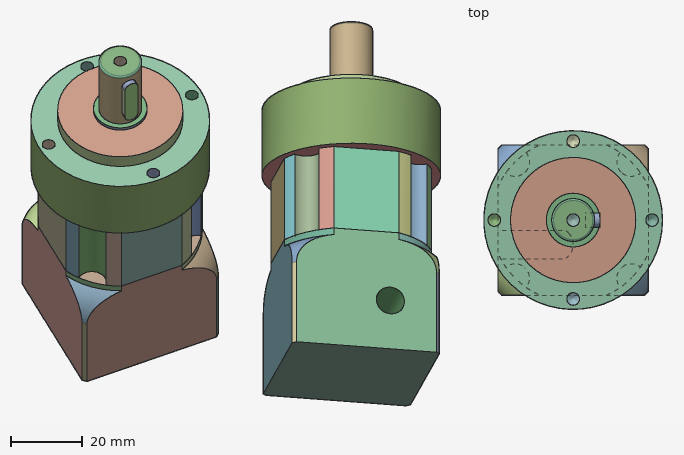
import cadquery as cq
import math

body_width = 42.0
corner_radius = 23.0
corner_count = 4
flange_diameter = 50.0
boss_diameter = 35.0
collar_diameter = 15.0
shaft_diameter = 12.0

shoulder_bottom_z = 24.0
shoulder_top_z = 33.0
base_top_z = 35.0
flange_bottom_z = 59.4
flange_top_z = 79.0
boss_top_z = 83.0
collar_top_z = 83.9
shaft_top_z = 103.5

base_corner_radius = 29.0
access_hole_diameter = 8.0
access_hole_y = -6.8
access_hole_z = 14.5
access_hole_depth = body_width / 2
access_hole_end_radius = 4.7

groove_radius = 4.0

hole_diameter = 3.5
hole_depth = 8.3
drill_point_angle = 118.0
bolt_circle_radius = 22.0
bolt_count = 4

shaft_end_fillet = 0.5
key_width = 4.0
key_length = 15.0
key_bottom_z = 86.5
key_outer_x = 7.5


def cylinder(diameter, bottom_z, top_z):
    return cq.Workplane("XY").workplane(offset=bottom_z).circle(diameter / 2).extrude(top_z - bottom_z)


def square_block(bottom_z, top_z):
    height = top_z - bottom_z
    return cq.Workplane("XY").workplane(offset=bottom_z).rect(body_width, body_width).extrude(height)


def drilled_hole(x, y, top_z):
    """Blind hole with a conical drill point."""
    radius = hole_diameter / 2
    point_height = radius / math.tan(math.radians(drill_point_angle / 2))
    return (
        cq.Workplane("XZ")
        .polyline([(0, 0), (radius, 0), (radius, -hole_depth), (0, -hole_depth - point_height)])
        .close()
        .revolve(360, (0, 0), (0, 1))
        .translate((x, y, top_z))
    )


def make_base():
    """Square motor adapter whose corners curve in to the round gear case."""
    corner_drop = base_corner_radius - corner_radius
    shoulder_height = shoulder_top_z - shoulder_bottom_z
    arc_radius = (corner_drop ** 2 + shoulder_height ** 2) / (2 * corner_drop)
    half_angle = math.asin(shoulder_height / arc_radius) / 2
    arc_mid = (
        base_corner_radius - arc_radius * (1 - math.cos(half_angle)),
        shoulder_bottom_z + arc_radius * math.sin(half_angle),
    )
    envelope = (
        cq.Workplane("XZ")
        .lineTo(base_corner_radius, 0)
        .lineTo(base_corner_radius, shoulder_bottom_z)
        .threePointArc(arc_mid, (corner_radius, shoulder_top_z))
        .lineTo(corner_radius, base_top_z)
        .lineTo(0, base_top_z)
        .close()
        .revolve(360, (0, 0), (0, 1))
    )
    access_hole = (
        cq.Workplane("YZ")
        .workplane(offset=-body_width / 2)
        .center(access_hole_y, access_hole_z)
        .circle(access_hole_diameter / 2)
        .extrude(access_hole_depth)
    )
    end_shaper = (
        cq.Workplane("XY")
        .center(-body_width / 2, access_hole_y)
        .slot2D(2 * access_hole_depth, 2 * access_hole_end_radius)
        .extrude(base_top_z)
    )
    access_hole = access_hole.intersect(end_shaper)
    return square_block(0, base_top_z).intersect(envelope).cut(access_hole)


def make_key():
    """Round-ended parallel key of square section on the +X side of the shaft."""
    return (
        cq.Workplane("YZ")
        .workplane(offset=key_outer_x - key_width)
        .center(0, key_bottom_z + key_length / 2)
        .slot2D(key_length, key_width, 90)
        .extrude(key_width)
    )


def make_case():
    """Square gear case with rounded, grooved corners."""
    case = square_block(base_top_z, flange_bottom_z).intersect(
        cylinder(2 * corner_radius, base_top_z, flange_bottom_z)
    )
    grooves = (
        cq.Workplane("XY")
        .workplane(offset=base_top_z)
        .polarArray(corner_radius, 45, 360, corner_count)
        .circle(groove_radius)
        .extrude(flange_bottom_z - base_top_z)
    )
    return case.cut(grooves)


def make_shaft():
    """Output shaft with a rounded end edge and a centre hole."""
    shaft = cylinder(shaft_diameter, collar_top_z, shaft_top_z).faces(">Z").edges().fillet(shaft_end_fillet)
    return shaft.cut(drilled_hole(0, 0, shaft_top_z))


def make_gearbox(key):
    """Gear case, flange and output shaft in one body, with a keyway that fits the key."""
    body = make_case().union(cylinder(flange_diameter, flange_bottom_z, flange_top_z))
    body = body.union(cylinder(boss_diameter, flange_top_z, boss_top_z))
    body = body.union(cylinder(collar_diameter, boss_top_z, collar_top_z))
    body = body.union(make_shaft())
    for index in range(bolt_count):
        angle = 2 * math.pi * index / bolt_count
        x = bolt_circle_radius * math.cos(angle)
        y = bolt_circle_radius * math.sin(angle)
        body = body.cut(drilled_hole(x, y, flange_top_z))
    return body.cut(key)


base = make_base()
key = make_key()
gearbox = make_gearbox(key)
result = cq.Compound.makeCompound([base.val(), gearbox.val(), key.val()])